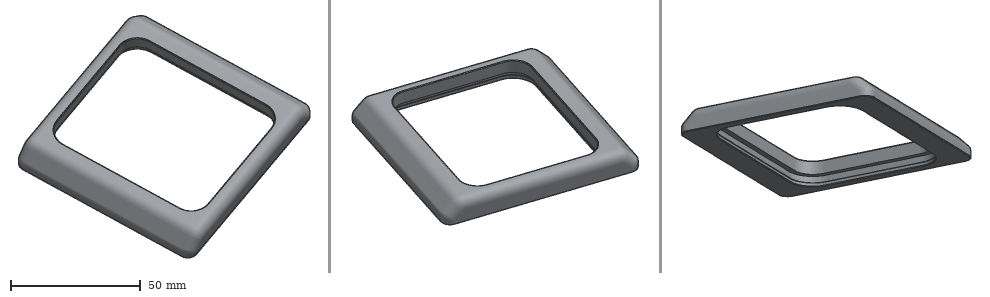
import cadquery as cq

WIDTH = 81.9
DEPTH = 85.0
HEIGHT = 10.0

SLOPE_START = 3.9
SLOPE_RUN = 6.3
LOWER_BLEND = 2.0
UPPER_BLEND = 4.85
END_BLEND = 4.2
BOTTOM_CHAMFER = 0.3

OPENING_WIDTH = 70.0
OPENING_DEPTH = 59.0
OPENING_CORNER = 8.0
RIM_CHAMFER = 0.3

LIP_OFFSET = 1.95
LIP_THICKNESS = 1.7
GROOVE_OFFSET = 2.3
GROOVE_TOP = 4.4

EDGE_TOLERANCE = 0.01


def edges_along_x(y, z):
    """Selector for the edges that run along X at the positions (+-y, z)."""
    tol = EDGE_TOLERANCE
    front = cq.selectors.BoxSelector((-tol, -y - tol, z - tol), (tol, -y + tol, z + tol))
    back = cq.selectors.BoxSelector((-tol, y - tol, z - tol), (tol, y + tol, z + tol))
    return front + back


def frame_body():
    """Solid block with sloped front and back, rounded along its ends."""
    half_depth = DEPTH / 2
    half_top = half_depth - SLOPE_RUN
    body = (
        cq.Workplane("YZ")
        .polyline([
            (-half_depth, 0),
            (half_depth, 0),
            (half_depth, SLOPE_START),
            (half_top, HEIGHT),
            (-half_top, HEIGHT),
            (-half_depth, SLOPE_START),
        ])
        .close()
        .extrude(WIDTH / 2, both=True)
    )
    body = body.edges(edges_along_x(half_depth, SLOPE_START)).fillet(LOWER_BLEND)
    body = body.edges(edges_along_x(half_top, HEIGHT)).fillet(UPPER_BLEND)
    return body.faces("<X or >X").edges("not <Z").fillet(END_BLEND)


def opening_cutter(offset, bottom, top):
    """Rounded rectangle between two heights, grown outward from the opening wall."""
    return (
        cq.Workplane("XY", origin=(0, 0, bottom))
        .rect(OPENING_WIDTH + 2 * offset, OPENING_DEPTH + 2 * offset)
        .extrude(top - bottom)
        .edges("|Z")
        .fillet(OPENING_CORNER + offset)
    )


frame = frame_body().cut(opening_cutter(0, 0, HEIGHT))
top_rim = cq.selectors.LengthNthSelector(0)
frame = frame.faces(">Z").wires(top_rim).chamfer(RIM_CHAMFER)

frame = frame.cut(opening_cutter(LIP_OFFSET, 0, LIP_THICKNESS))
frame = frame.cut(opening_cutter(GROOVE_OFFSET, LIP_THICKNESS, GROOVE_TOP))

result = frame.faces("<Z").edges().chamfer(BOTTOM_CHAMFER)